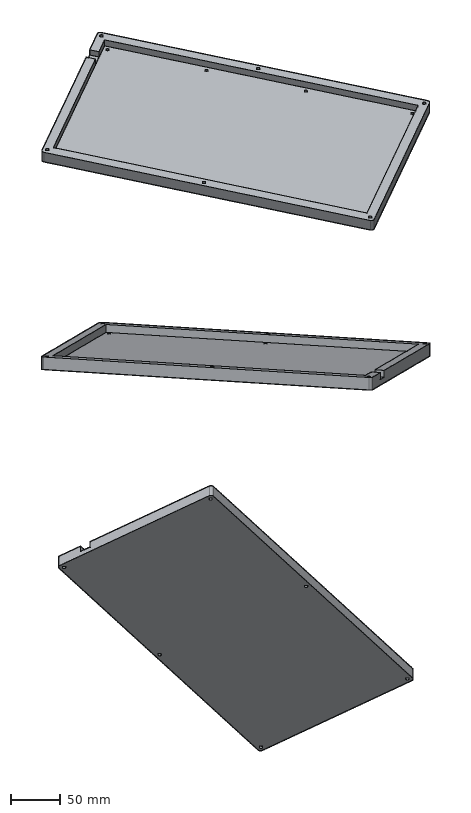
import cadquery as cq

length = 354.5
width = 193.3
height = 13.0
corner_radius = 3.0

wall = 10.0
pocket_depth = 8.0
floor_height = height - pocket_depth

slot_width = 11.7
slot_depth = 7.0
slot_centre_y = 61.7

rim_hole_diameter = 3.4
rim_hole_inset = wall / 2
middle_hole_x = -5.0

floor_hole_diameter = 3.0
floor_hole_depth = 3.5
floor_hole_inset_x = 14.5
floor_hole_inset_y = 14.5
back_hole_xs = (-57.0, 49.0)


def make_body():
    return (
        cq.Workplane("XY")
        .box(length, width, height, centered=(True, True, False))
        .edges("|Z")
        .fillet(corner_radius)
    )


def make_pocket():
    return (
        cq.Workplane("XY", origin=(0, 0, floor_height))
        .box(length - 2 * wall, width - 2 * wall, pocket_depth, centered=(True, True, False))
    )


def make_slot():
    return (
        cq.Workplane("XY", origin=(-length / 2, slot_centre_y, height - slot_depth))
        .box(wall, slot_width, slot_depth, centered=(False, True, False))
    )


def make_hole_cutters(points, diameter, bottom, depth):
    return (
        cq.Workplane("XY", origin=(0, 0, bottom))
        .pushPoints(points)
        .circle(diameter / 2)
        .extrude(depth)
    )


rim_hole_x = length / 2 - rim_hole_inset
rim_hole_y = width / 2 - rim_hole_inset
rim_points = [(x, y) for x in (-rim_hole_x, middle_hole_x, rim_hole_x) for y in (-rim_hole_y, rim_hole_y)]

floor_hole_x = length / 2 - floor_hole_inset_x
floor_hole_y = width / 2 - floor_hole_inset_y
front_points = [(x, -floor_hole_y) for x in (-floor_hole_x, middle_hole_x, floor_hole_x)]
back_points = [(x, floor_hole_y) for x in (-floor_hole_x, *back_hole_xs, floor_hole_x)]

rim_holes = make_hole_cutters(rim_points, rim_hole_diameter, 0, height)
floor_holes = make_hole_cutters(
    front_points + back_points, floor_hole_diameter, floor_height - floor_hole_depth, floor_hole_depth
)

result = make_body().cut(make_pocket()).cut(make_slot()).cut(rim_holes).cut(floor_holes)